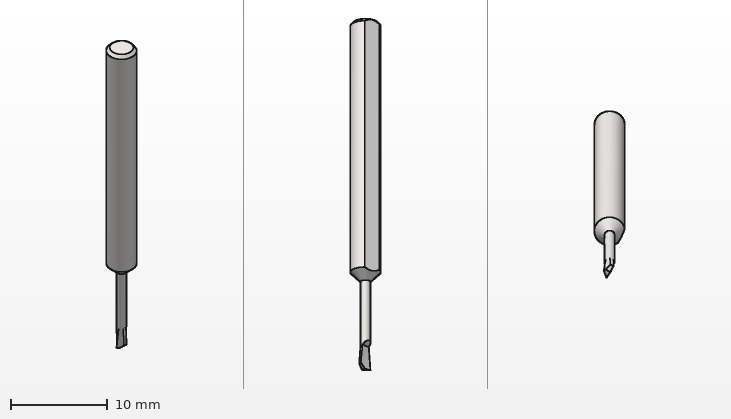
import cadquery as cq
import math


overall_length = 38.1
shank_diameter = 3.175
shank_radius = shank_diameter / 2
shank_depth_across_flat = 2.92
flat_y = shank_depth_across_flat - shank_radius
top_chamfer = 0.37

neck_diameter = 1.07
neck_radius = neck_diameter / 2
neck_start_z = 9.6
cone_top_z = neck_start_z + shank_radius - neck_radius

head_top_z = 2.55
rake_twist = 22.0
rake_offset = 0.03
ridge_angle = -72.0
heel_angle = -20.0
tip_point = (-0.64, -0.07)
ridge_point = (-0.06, -0.65)
heel_point = (0.69, -0.22)
shoulder_point = (0.69, 0.14)
corner_start_x = 0.08
end_relief_x = 0.05
end_relief_y = 0.13


def make_shank():
    """Cylinder with a chamfered top, a cone at the bottom and a flat on the +Y side."""
    profile = [
        (0, neck_start_z),
        (neck_radius, neck_start_z),
        (shank_radius, cone_top_z),
        (shank_radius, overall_length - top_chamfer),
        (shank_radius - top_chamfer, overall_length),
        (0, overall_length),
    ]
    shank = cq.Workplane("XZ").polyline(profile).close().revolve(360, (0, 0), (0, 1))
    beyond_flat = (
        cq.Workplane("XY")
        .center(0, flat_y + shank_radius / 2)
        .rect(shank_diameter, shank_radius)
        .extrude(overall_length)
    )
    return shank.cut(beyond_flat)


def make_neck():
    """Round neck whose lower end slopes at 45 degrees down to the rake face."""
    neck = (
        cq.Workplane("XY", origin=(0, 0, head_top_z))
        .circle(neck_radius)
        .extrude(neck_start_z - head_top_z)
    )
    slope_run = neck_diameter
    slope_outline = [
        (rake_offset, head_top_z),
        (rake_offset + slope_run, head_top_z),
        (rake_offset + slope_run, head_top_z + slope_run),
    ]
    slope = (
        cq.Workplane("YZ")
        .polyline(slope_outline)
        .close()
        .extrude(neck_diameter, both=True)
        .rotate((0, 0, 0), (0, 0, 1), rake_twist)
    )
    return neck.cut(slope)


def neck_point(angle):
    """Point on the neck circle at an angle in degrees from +X."""
    radians = math.radians(angle)
    return (neck_radius * math.cos(radians), neck_radius * math.sin(radians))


def make_head():
    """Half-round section at the neck blending into a four-sided section at the tip."""
    rake_half_angle = math.degrees(math.asin(rake_offset / neck_radius))
    shoulder_angle = rake_twist + rake_half_angle
    edge_angle = rake_twist - rake_half_angle - 180

    head = (
        cq.Workplane("XY")
        .polyline([tip_point, ridge_point, heel_point, shoulder_point])
        .close()
        .workplane(offset=head_top_z)
        .moveTo(*neck_point(edge_angle))
        .threePointArc(neck_point((edge_angle + ridge_angle) / 2), neck_point(ridge_angle))
        .threePointArc(neck_point((ridge_angle + heel_angle) / 2), neck_point(heel_angle))
        .threePointArc(neck_point((heel_angle + shoulder_angle) / 2), neck_point(shoulder_angle))
        .close()
        .loft(ruled=True)
    )
    return head.cut(make_corner_cut()).cut(make_end_relief())


def make_corner_cut():
    """Wedge that bevels the +X corner of the tip at 45 degrees."""
    cut_size = shank_radius
    outline = [
        (corner_start_x, 0),
        (corner_start_x + cut_size, 0),
        (corner_start_x + cut_size, cut_size),
    ]
    return cq.Workplane("XZ").polyline(outline).close().extrude(shank_radius, both=True)


def make_end_relief():
    """Block below the sloping end face, which is lowest at the cutting tip."""
    end_plane = cq.Plane(
        origin=(*tip_point, 0),
        xDir=(1, 0, end_relief_x),
        normal=(-end_relief_x, end_relief_y, 1),
    )
    block_size = 2 * shank_diameter
    return cq.Workplane(end_plane).rect(block_size, block_size).extrude(-shank_radius)


result = make_shank().union(make_neck()).union(make_head())